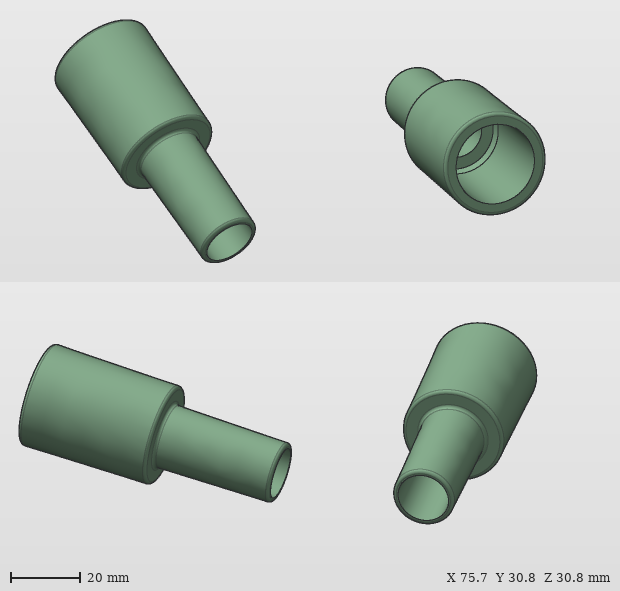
import cadquery as cq

total_length = 75.7
socket_length = 39.75
edge_radius = 1.0

socket_mouth_diameter = 30.8
socket_shoulder_diameter = 29.8
spigot_root_diameter = 19.0
spigot_tip_diameter = 18.0

bore_diameter = 23.8
bore_floor_diameter = 21.95
wall_thickness = (socket_shoulder_diameter - bore_floor_diameter) / 2
bore_depth = socket_length - wall_thickness
bore_taper_length = 2.0
through_diameter = 15.0


def cone(start_x, end_x, start_diameter, end_diameter):
    """Solid of revolution about X between two end diameters."""
    return (
        cq.Workplane("XY")
        .moveTo(start_x, 0)
        .lineTo(start_x, start_diameter / 2)
        .lineTo(end_x, end_diameter / 2)
        .lineTo(end_x, 0)
        .close()
        .revolve(360, (0, 0, 0), (1, 0, 0))
    )


socket = cone(0, socket_length, socket_mouth_diameter, socket_shoulder_diameter)
spigot = cone(socket_length, total_length, spigot_root_diameter, spigot_tip_diameter)
body = socket.union(spigot).edges("%CIRCLE").fillet(edge_radius)

taper_start = bore_depth - bore_taper_length
socket_bore = cone(0, taper_start, bore_diameter, bore_diameter)
floor_taper = cone(taper_start, bore_depth, bore_diameter, bore_floor_diameter)
through_bore = cone(0, total_length, through_diameter, through_diameter)
result = body.cut(socket_bore).cut(floor_taper).cut(through_bore)